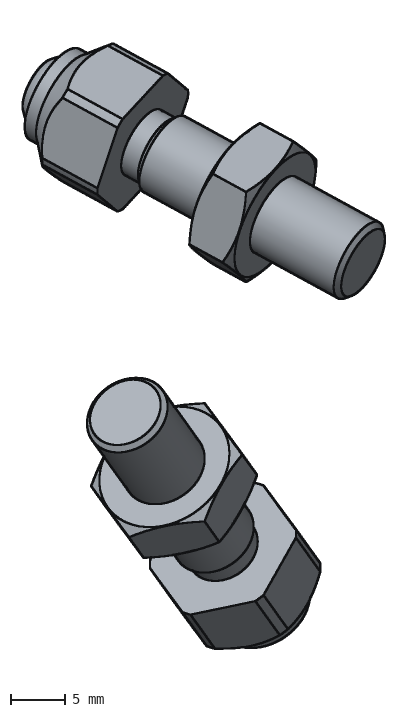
import cadquery as cq
import math

HEAD_LENGTH = 11.6
SHANK_LENGTH = 25.0
COLLAR_FACE_X = -10.0
CONE_START_X = -8.7
NECK_LENGTH = 1.9
NUT_START_X = 10.0
NUT_THICKNESS = 5.0

ACROSS_FLATS = 13.0
ACROSS_CORNERS = ACROSS_FLATS / math.cos(math.radians(30))
HEAD_CORNER_DIAMETER = 14.5
COLLAR_DIAMETER = 9.6
THREAD_DIAMETER = 8.0
NECK_DIAMETER = 6.9
THREAD_CHAMFER = 0.5
BALL_RADIUS = 4.25
BALL_FLAT_RADIUS = 2.9
NUT_FACE_DIAMETER = 12.9
NUT_CHAMFER_ANGLE = 30.0

BALL_FLAT_DEPTH = math.sqrt(BALL_RADIUS**2 - BALL_FLAT_RADIUS**2)
BALL_FLAT_X = -HEAD_LENGTH
BALL_CENTRE_X = BALL_FLAT_X + BALL_FLAT_DEPTH


def revolve_about_x(profile):
    """Revolve a closed (x, radius) outline about the X axis."""
    return profile.close().revolve(360, (0, 0, 0), (1, 0, 0))


def hexagon_bar(start_x, length):
    """Hexagonal prism along X with two corners on the Y axis."""
    return (
        cq.Workplane("YZ", origin=(start_x, 0, 0))
        .polygon(6, ACROSS_CORNERS)
        .extrude(length)
    )


def make_ball():
    """Ball with a flat cut across its outer side."""
    return revolve_about_x(
        cq.Workplane("XY")
        .moveTo(BALL_FLAT_X, 0)
        .lineTo(BALL_FLAT_X, BALL_FLAT_RADIUS)
        .threePointArc((BALL_CENTRE_X, BALL_RADIUS), (BALL_CENTRE_X + BALL_RADIUS, 0))
    )


def make_head():
    """Hexagon head with rounded corners, a 45 degree cone and a collar."""
    cone_length = (HEAD_CORNER_DIAMETER - COLLAR_DIAMETER) / 2
    envelope = revolve_about_x(
        cq.Workplane("XY")
        .moveTo(CONE_START_X, 0)
        .lineTo(CONE_START_X, COLLAR_DIAMETER / 2)
        .lineTo(CONE_START_X + cone_length, HEAD_CORNER_DIAMETER / 2)
        .lineTo(0, HEAD_CORNER_DIAMETER / 2)
        .lineTo(0, 0)
    )
    hexagon = hexagon_bar(CONE_START_X, -CONE_START_X).intersect(envelope)
    collar = (
        cq.Workplane("YZ", origin=(COLLAR_FACE_X, 0, 0))
        .circle(COLLAR_DIAMETER / 2)
        .extrude(CONE_START_X - COLLAR_FACE_X)
    )
    return hexagon.union(collar)


def make_shank():
    """Threaded shank with an undercut neck and 45 degree ends to the thread."""
    thread_radius = THREAD_DIAMETER / 2
    neck_radius = NECK_DIAMETER / 2
    return revolve_about_x(
        cq.Workplane("XY")
        .lineTo(0, neck_radius)
        .lineTo(NECK_LENGTH, neck_radius)
        .lineTo(NECK_LENGTH + thread_radius - neck_radius, thread_radius)
        .lineTo(SHANK_LENGTH - THREAD_CHAMFER, thread_radius)
        .lineTo(SHANK_LENGTH, thread_radius - THREAD_CHAMFER)
        .lineTo(SHANK_LENGTH, 0)
    )


def make_screw(ball):
    """Head and shank in one piece, with a socket that fits the ball."""
    return make_head().union(make_shank()).cut(ball)


def make_nut():
    """Hexagon nut with both faces chamfered and a bore that fits the thread."""
    corner_radius = ACROSS_CORNERS / 2
    face_radius = NUT_FACE_DIAMETER / 2
    chamfer_length = (corner_radius - face_radius) * math.tan(math.radians(NUT_CHAMFER_ANGLE))
    nut_end_x = NUT_START_X + NUT_THICKNESS
    bore_radius = THREAD_DIAMETER / 2
    envelope = revolve_about_x(
        cq.Workplane("XY")
        .moveTo(NUT_START_X, bore_radius)
        .lineTo(NUT_START_X, face_radius)
        .lineTo(NUT_START_X + chamfer_length, corner_radius)
        .lineTo(nut_end_x - chamfer_length, corner_radius)
        .lineTo(nut_end_x, face_radius)
        .lineTo(nut_end_x, bore_radius)
    )
    return hexagon_bar(NUT_START_X, NUT_THICKNESS).intersect(envelope)


ball = make_ball()
screw = make_screw(ball)
nut = make_nut()

result = cq.Compound.makeCompound([ball.val(), screw.val(), nut.val()])